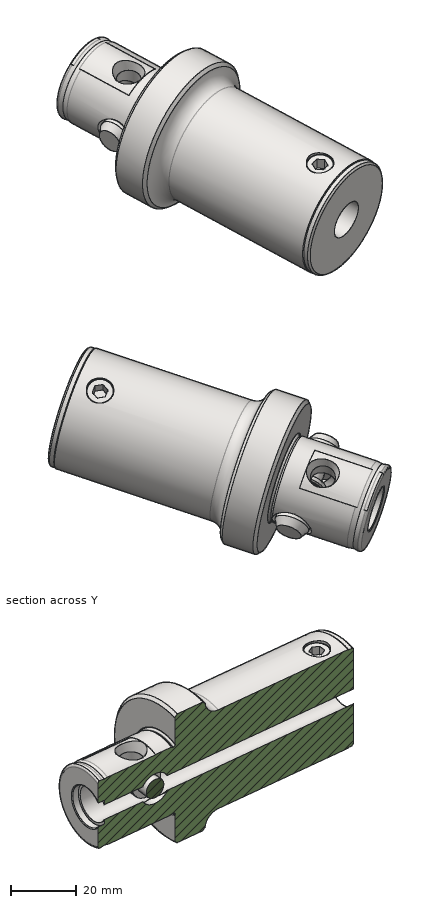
import cadquery as cq
import math

total_length = 100.0

spigot_radius = 14.0
spigot_nose_radius = 0.9
groove_start = 1.0
groove_bottom = 2.5
groove_end = 4.3
groove_depth = 0.3
patch_width = 13.6
patch_end = 22.5
patch_depth = 0.1

undercut_start = 28.7
undercut_floor_start = 29.3
undercut_depth = 0.3
undercut_corner_radius = 0.6
undercut_face_depth = 0.2
undercut_face_radius = 14.6

flange_start = 30.0
flange_end = 42.0
flange_radius = 25.0
flange_chamfer = 1.0
shank_radius = 19.5
shank_fillet = 5.0
shank_step_start = 97.7
shank_step_end = 98.0
shank_step = 0.2
shank_end_chamfer = 0.6

bore_radius = 6.2
counterbore_radius = 7.1
counterbore_depth = 2.5
counterbore_chamfer = 0.3

top_hole_x = 17.4
top_hole_radius = 3.8
top_hole_mouth_radius = 5.1
top_hole_mouth_depth = 3.8

pin_x = 22.4
pin_radius = 5.5
pin_tip = 16.5
pin_tip_radius = 4.0
cone_half_angle = 30.0
pin_mouth_radius = 6.4
socket_pin_end = -1.4
stem_radius = 3.5
stem_start = -5.6
stem_end = 5.6
pin_groove_y = 0.3
pin_groove_width = 0.9
pin_groove_depth = 0.3

screw_x = 90.0
screw_radius = 4.0
screw_top = 18.5
screw_length = 10.0
screw_mouth_radius = 4.2
hex_across_flats = 4.2
hex_depth = 4.0

cone_slope = math.tan(math.radians(cone_half_angle))


def turned_about_x(outline):
    """Solid of revolution about X from an outline drawn as (x, radius)."""
    return outline.close().revolve(360, (0, 0, 0), (1, 0, 0))


def turned_about_pin_axis(points):
    """Solid of revolution about the pin's Y axis from (radius, y) points."""
    outline = cq.Workplane("XY").polyline(points).close()
    return outline.revolve(360, (0, 0, 0), (0, 1, 0)).translate((pin_x, 0, 0))


def cylinder_x(radius, start, end):
    return cq.Workplane("YZ").workplane(offset=start).circle(radius).extrude(end - start)


def cylinder_z(radius, x, bottom, top):
    return cq.Workplane("XY").workplane(offset=bottom).center(x, 0).circle(radius).extrude(top - bottom)


def housing_blank():
    """Spigot, flange and shank turned as one outline."""
    diagonal = math.sqrt(0.5)
    nose_center = spigot_radius - spigot_nose_radius
    nose_mid = (spigot_nose_radius * (1 - diagonal), nose_center + spigot_nose_radius * diagonal)
    undercut_radius = spigot_radius - undercut_depth
    undercut_bottom_x = flange_start + undercut_face_depth
    corner_inset = undercut_corner_radius * (1 - diagonal)
    corner_mid = (undercut_bottom_x - corner_inset, undercut_radius + corner_inset)

    chamfer_radius = flange_radius - flange_chamfer
    fillet_center_x = flange_end + shank_fillet
    fillet_center_radius = shank_radius + shank_fillet
    start_angle = math.asin((fillet_center_radius - chamfer_radius) / shank_fillet)
    mid_angle = (start_angle + math.pi / 2) / 2

    def fillet_point(angle):
        return (
            fillet_center_x - shank_fillet * math.cos(angle),
            fillet_center_radius - shank_fillet * math.sin(angle),
        )

    step_radius = shank_radius - shank_step
    outline = (
        cq.Workplane("XY")
        .moveTo(0, 0)
        .lineTo(0, nose_center)
        .threePointArc(nose_mid, (spigot_nose_radius, spigot_radius))
        .lineTo(groove_start, spigot_radius)
        .lineTo(groove_bottom, spigot_radius - groove_depth)
        .lineTo(groove_end, spigot_radius)
        .lineTo(undercut_start, spigot_radius)
        .lineTo(undercut_floor_start, undercut_radius)
        .lineTo(undercut_bottom_x - undercut_corner_radius, undercut_radius)
        .threePointArc(corner_mid, (undercut_bottom_x, undercut_radius + undercut_corner_radius))
        .lineTo(flange_start, undercut_face_radius)
        .lineTo(flange_start, chamfer_radius)
        .lineTo(flange_start + flange_chamfer, flange_radius)
        .lineTo(flange_end - flange_chamfer, flange_radius)
        .lineTo(*fillet_point(start_angle))
        .threePointArc(fillet_point(mid_angle), (fillet_center_x, shank_radius))
        .lineTo(shank_step_start, shank_radius)
        .lineTo(shank_step_end, step_radius)
        .lineTo(total_length - shank_end_chamfer, step_radius)
        .lineTo(total_length, step_radius - shank_end_chamfer)
        .lineTo(total_length, 0)
    )
    return turned_about_x(outline)


def axial_bore():
    """Through bore with a chamfered counterbore at the spigot face."""
    outline = (
        cq.Workplane("XY")
        .moveTo(0, 0)
        .lineTo(0, counterbore_radius + counterbore_chamfer)
        .lineTo(counterbore_chamfer, counterbore_radius)
        .lineTo(counterbore_depth, counterbore_radius)
        .lineTo(counterbore_depth, bore_radius)
        .lineTo(total_length, bore_radius)
        .lineTo(total_length, 0)
    )
    return turned_about_x(outline)


def relief_patch():
    """Thin cylindrical layer removed from the top of the spigot."""
    layer = cylinder_x(spigot_radius, 0, patch_end)
    layer = layer.cut(cylinder_x(spigot_radius - patch_depth, 0, patch_end))
    window = cq.Workplane("XY").rect(2 * patch_end, patch_width).extrude(spigot_radius)
    return layer.intersect(window)


def top_hole():
    """Radial hole into the bore, flared at the spigot surface."""
    flare_bottom = spigot_radius - top_hole_mouth_depth
    flare = (
        cq.Workplane("XY")
        .workplane(offset=flare_bottom)
        .center(top_hole_x, 0)
        .circle(top_hole_radius)
        .workplane(offset=top_hole_mouth_depth)
        .circle(top_hole_mouth_radius)
        .loft(ruled=True)
    )
    return cylinder_z(top_hole_radius, top_hole_x, 0, spigot_radius).union(flare)


def pin_hole():
    """Cross hole for the pin, with a conical mouth at each end."""
    mouth_depth = (pin_mouth_radius - pin_radius) / cone_slope
    straight_end = spigot_radius - mouth_depth
    return turned_about_pin_axis([
        (0, -spigot_radius),
        (pin_mouth_radius, -spigot_radius),
        (pin_radius, -straight_end),
        (pin_radius, straight_end),
        (pin_mouth_radius, spigot_radius),
        (0, spigot_radius),
    ])


def screw_hole():
    """Blind hole filled by the set screw, with a wider mouth above it."""
    mouth = cylinder_z(screw_mouth_radius, screw_x, screw_top, shank_radius)
    return cylinder_z(screw_radius, screw_x, screw_top - screw_length, shank_radius).union(mouth)


def make_housing():
    housing = housing_blank().cut(axial_bore())
    for cutter in (relief_patch(), top_hole(), pin_hole(), screw_hole()):
        housing = housing.cut(cutter)
    return housing


cone_base = pin_tip - (pin_radius - pin_tip_radius) / cone_slope


def make_socket_pin():
    """Half of the pin on the +Y side, with a blind socket for the stem."""
    groove_half = pin_groove_width / 2
    return turned_about_pin_axis([
        (0, pin_tip),
        (pin_tip_radius, pin_tip),
        (pin_radius, cone_base),
        (pin_radius, pin_groove_y + groove_half),
        (pin_radius - pin_groove_depth, pin_groove_y),
        (pin_radius, pin_groove_y - groove_half),
        (pin_radius, socket_pin_end),
        (stem_radius, socket_pin_end),
        (stem_radius, stem_end),
        (0, stem_end),
    ])


def make_stem_pin():
    """Half of the pin on the -Y side, whose stem fills the socket."""
    return turned_about_pin_axis([
        (0, -pin_tip),
        (pin_tip_radius, -pin_tip),
        (pin_radius, -cone_base),
        (pin_radius, stem_start),
        (stem_radius, stem_start),
        (stem_radius, stem_end),
        (0, stem_end),
    ])


def make_set_screw():
    """Headless screw with a hexagon socket, two flats facing along X."""
    hex_corner_diameter = hex_across_flats / math.cos(math.radians(30))
    socket = (
        cq.Workplane("XY")
        .polygon(6, hex_corner_diameter)
        .extrude(hex_depth)
        .rotate((0, 0, 0), (0, 0, 1), 30)
        .translate((screw_x, 0, screw_top - hex_depth))
    )
    return cylinder_z(screw_radius, screw_x, screw_top - screw_length, screw_top).cut(socket)


housing = make_housing()
socket_pin = make_socket_pin()
stem_pin = make_stem_pin()
set_screw = make_set_screw()

result = cq.Compound.makeCompound([
    housing.val(),
    socket_pin.val(),
    stem_pin.val(),
    set_screw.val(),
])